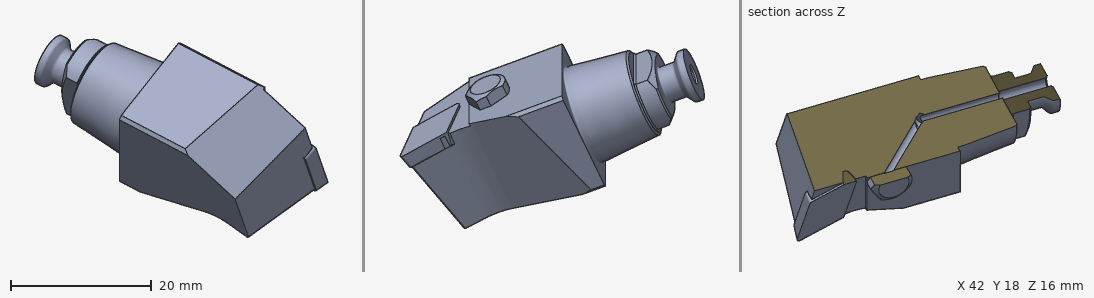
import cadquery as cq
import math


block_width = 16.0
half_width = block_width / 2
nose_reach = 25.0
edge_chamfer = 0.5
belly_radius = 6.95
nose_tip_setback = 0.25
recess_start = 14.32
recess_depth = 0.4

ROOF = ((13.52, half_width), -30.0, 5.0)
FRONT_FLANK = ((21.5, 3.3), -73.4, 7.0)
LIP = ((19.65, -6.35), 164.5, 7.0)
BELLY = ((7.05, -half_width), 197.4, 5.5)

taper_length = 9.5
taper_end_radius = 6.05
taper_small_radius = 6.43
taper_big_radius = 7.22
taper_end_chamfer = 0.25
taper_collar_length = 1.0
shoulder_fillet = 0.15

stud_length = 7.5
stud_start = -taper_length - stud_length
knob_radius = 3.85
knob_length = 1.05
knob_cone_length = 0.95
knob_fillet = 0.35
neck_radius = 2.65
neck_fillet = 0.15
wrench_offset = 4.45
wrench_start = stud_start + wrench_offset
wrench_radius = 5.92
wrench_flat = 4.0
wrench_chamfer = 0.25
wrench_flare = 0.25
flat_chamfer_radius = 11.25
flat_chamfer_reach = 3.65
flat_chamfer_spread = 1.1

head_bore_radius = 1.0
stud_bore_radius = 1.2
bore_mouth_chamfer = 0.25
nozzle_bore_angle = 45.0

nozzle_x = 10.95
nozzle_radius = 2.9
nozzle_height = 2.0
nozzle_aim = -30.0
nozzle_flat_angle = 60.0
nozzle_chamfer_height = 0.35
nozzle_chamfer_width = 0.6

insert_width = 6.35
insert_thickness = 2.4
insert_corner_angle = 55.0
insert_corner_radius = 0.4
insert_relief = 7.0
insert_tip_x = nose_reach - insert_corner_radius
insert_tip_z = -half_width + insert_corner_radius
insert_edge_direction = 106.6
pocket_relief_radius = 0.4


def direction(angle):
    """Unit vector in the XZ plane."""
    return math.cos(math.radians(angle)), math.sin(math.radians(angle))


def at_radius(radius, angle):
    """Point at a polar position in the XZ plane."""
    ux, uz = direction(angle)
    return radius * ux, radius * uz


def flank_line(flank, depth):
    """Point and direction of a flank, moved inward by its relief at a depth below the rake side."""
    (x, z), angle, relief = flank
    ux, uz = direction(angle)
    inward = depth * math.tan(math.radians(relief))
    return (x + inward * uz, z - inward * ux), (ux, uz)


def crossing(first, second):
    """Point where two lines meet."""
    (ax, az), (ux, uz) = first
    (bx, bz), (vx, vz) = second
    step = ((bx - ax) * vz - (bz - az) * vx) / (ux * vz - uz * vx)
    return ax + step * ux, az + step * uz


def moved(point, heading, distance):
    return point[0] + distance * heading[0], point[1] + distance * heading[1]


def plane_at(y):
    """Workplane at height Y whose axes are X and Z; its normal is -Y."""
    return cq.Workplane("XZ", origin=(0, y, 0))


def nose_outline(depth):
    """Side outline of the block and nose at a depth below the rake side."""
    roof, front, lip, belly = [flank_line(flank, depth) for flank in (ROOF, FRONT_FLANK, LIP, BELLY)]
    top_line = ((0, half_width), (1, 0))
    bottom_line = ((0, -half_width), (1, 0))
    tip = crossing(front, lip)
    throat = crossing(lip, belly)
    half_turn = math.radians(BELLY[1] - LIP[1]) / 2
    tangent_length = belly_radius * math.tan(half_turn)
    crest_drop = belly_radius * (1 / math.cos(half_turn) - 1)
    crest = moved(throat, direction((LIP[1] + BELLY[1]) / 2 + 90), crest_drop)
    return (
        plane_at(half_width - depth)
        .moveTo(0, half_width)
        .lineTo(*crossing(top_line, roof))
        .lineTo(*crossing(roof, front))
        .lineTo(*moved(tip, front[1], -nose_tip_setback))
        .lineTo(*moved(tip, lip[1], nose_tip_setback))
        .lineTo(*moved(throat, lip[1], -tangent_length))
        .threePointArc(crest, moved(throat, belly[1], tangent_length))
        .lineTo(*crossing(belly, bottom_line))
        .lineTo(0, -half_width)
        .close()
        .wire()
        .val()
    )


def make_nose():
    nose = cq.Solid.makeLoft([nose_outline(0), nose_outline(block_width)], True)
    bar = cq.Workplane("YZ").rect(block_width, block_width).extrude(nose_reach)
    bar = bar.edges("|X").chamfer(edge_chamfer)
    recess = cq.Workplane("XY").box(nose_reach, recess_depth, block_width, centered=(False, False, True))
    recess = recess.translate((recess_start, half_width - recess_depth, 0))
    return bar.intersect(cq.Workplane(nose)).cut(recess)


def make_taper():
    return (
        cq.Workplane("XZ")
        .moveTo(-taper_length, 0)
        .lineTo(-taper_length, taper_end_radius)
        .lineTo(-taper_length + taper_end_chamfer, taper_small_radius)
        .lineTo(-taper_collar_length, taper_big_radius)
        .lineTo(-shoulder_fillet, taper_big_radius)
        .radiusArc((0, taper_big_radius + shoulder_fillet), -shoulder_fillet)
        .lineTo(0, 0)
        .close()
        .revolve(360, (0, 0, 0), (1, 0, 0))
    )


def coolant_bores():
    """Axial bore from the taper end, and the slanted bore that rises from its end to the nozzle."""
    slant = math.radians(nozzle_bore_angle)
    bend_x = nozzle_x - half_width / math.tan(slant)
    axial_length = taper_length + bend_x + head_bore_radius * math.tan(slant / 2)
    axial = cq.Workplane("YZ", origin=(-taper_length, 0, 0)).circle(head_bore_radius).extrude(axial_length)
    bore_direction = cq.Vector(math.cos(slant), math.sin(slant), 0)
    bore_start = cq.Vector(bend_x, 0, 0) - bore_direction * head_bore_radius
    slanted_length = block_width / math.sin(slant)
    slanted = cq.Solid.makeCylinder(head_bore_radius, slanted_length, bore_start, bore_direction)
    return axial.union(cq.Workplane(slanted))


def insert_corners():
    """Sharp corners of the insert on the rake side, in order from the cutting tip."""
    edge = insert_width / math.sin(math.radians(insert_corner_angle))
    tip_setback = insert_corner_radius / math.sin(math.radians(insert_corner_angle / 2))
    bisector = direction(insert_edge_direction + insert_corner_angle / 2)
    first_edge = direction(insert_edge_direction)
    second_edge = direction(insert_edge_direction + insert_corner_angle)
    tip = moved((insert_tip_x, insert_tip_z), bisector, -tip_setback)
    upper = moved(tip, first_edge, edge)
    lower = moved(tip, second_edge, edge)
    opposite = moved(upper, second_edge, edge)
    return [tip, upper, opposite, lower]


def make_insert():
    """Rhombus with rounded corners whose flanks lean inward below the rake face."""
    outline = plane_at(half_width).polyline(insert_corners()).close()
    blank = outline.extrude(insert_thickness, taper=insert_relief)
    return blank.edges("not #Y").fillet(insert_corner_radius)


def pocket_reliefs():
    """Round reliefs at the two blunt corners of the insert pocket."""
    _, upper, _, lower = insert_corners()
    reliefs = plane_at(half_width).pushPoints([upper, lower])
    return reliefs.circle(pocket_relief_radius).extrude(insert_thickness)


def make_head(insert):
    head = make_nose().union(make_taper())
    return head.cut(coolant_bores()).cut(insert).cut(pocket_reliefs())


def make_stud():
    cone_start = stud_start + knob_length
    neck_start = cone_start + knob_cone_length
    shaft = (
        cq.Workplane("XZ")
        .moveTo(stud_start, 0)
        .lineTo(stud_start, knob_radius)
        .lineTo(cone_start, knob_radius)
        .lineTo(neck_start, neck_radius)
        .lineTo(wrench_start - neck_fillet, neck_radius)
        .radiusArc((wrench_start, neck_radius + neck_fillet), -neck_fillet)
        .lineTo(wrench_start, 0)
        .close()
        .revolve(360, (0, 0, 0), (1, 0, 0))
    )
    shaft = shaft.faces("%CONE").edges("%CIRCLE").fillet(knob_fillet)
    bore = cq.Workplane("YZ", origin=(stud_start, 0, 0)).circle(stud_bore_radius).extrude(stud_length)
    stud = shaft.union(wrench_collar()).cut(bore)
    mouth = stud.faces("<X").edges(cq.selectors.RadiusNthSelector(0))
    return mouth.chamfer(bore_mouth_chamfer)


def wrench_section(x):
    """Round section with two wrench flats facing +Y and -Y."""
    flat_end = math.sqrt(wrench_radius**2 - wrench_flat**2)
    return (
        cq.Workplane("YZ", origin=(x, 0, 0))
        .moveTo(-wrench_flat, flat_end)
        .threePointArc((0, wrench_radius), (wrench_flat, flat_end))
        .lineTo(wrench_flat, -flat_end)
        .threePointArc((0, -wrench_radius), (-wrench_flat, -flat_end))
        .close()
    )


def wrench_collar():
    """Collar with chamfered wrench flats and a base that flares out against the taper."""
    wrench_length = -taper_length - wrench_start
    collar = cq.Workplane("YZ", origin=(wrench_start, 0, 0)).circle(wrench_radius).extrude(wrench_length)
    collar = collar.faces("<X").chamfer(wrench_chamfer)
    collar = collar.intersect(wrench_section(wrench_start).extrude(wrench_length))
    for side in (1, -1):
        cone_axis_y = side * (flat_chamfer_reach - flat_chamfer_radius)
        cone = cq.Solid.makeCone(
            flat_chamfer_radius,
            flat_chamfer_radius + flat_chamfer_spread * wrench_length,
            wrench_length,
            cq.Vector(wrench_start, cone_axis_y, 0),
            cq.Vector(1, 0, 0),
        )
        collar = collar.intersect(cq.Workplane(cone))
    flare = wrench_section(-taper_length - wrench_flare).extrude(wrench_flare, taper=-45)
    return collar.union(flare)


def make_nozzle():
    """Round cap with two chord flats and a three-sided front that points at the cutting tip."""
    half_flat_angle = nozzle_flat_angle / 2
    corner_radius = nozzle_radius / math.cos(math.radians(half_flat_angle))
    back_start = at_radius(nozzle_radius, nozzle_aim + 2 * nozzle_flat_angle)
    back_middle = at_radius(nozzle_radius, nozzle_aim + 180)
    back_end = at_radius(nozzle_radius, nozzle_aim - 2 * nozzle_flat_angle)
    body = (
        plane_at(half_width + nozzle_height)
        .moveTo(*back_start)
        .threePointArc(back_middle, back_end)
        .lineTo(*at_radius(nozzle_radius, nozzle_aim - nozzle_flat_angle))
        .lineTo(*at_radius(corner_radius, nozzle_aim - half_flat_angle))
        .lineTo(*at_radius(corner_radius, nozzle_aim + half_flat_angle))
        .lineTo(*at_radius(nozzle_radius, nozzle_aim + nozzle_flat_angle))
        .close()
        .extrude(nozzle_height)
    )
    spread = nozzle_chamfer_width / nozzle_chamfer_height
    top_radius = nozzle_radius - nozzle_chamfer_width
    cone = cq.Solid.makeCone(
        top_radius,
        top_radius + spread * nozzle_height,
        nozzle_height,
        cq.Vector(0, half_width + nozzle_height, 0),
        cq.Vector(0, -1, 0),
    )
    return body.intersect(cq.Workplane(cone)).translate((nozzle_x, 0, 0))


insert = make_insert()
head = make_head(insert)
stud = make_stud()
nozzle = make_nozzle()

result = cq.Compound.makeCompound([head.val(), insert.val(), stud.val(), nozzle.val()])